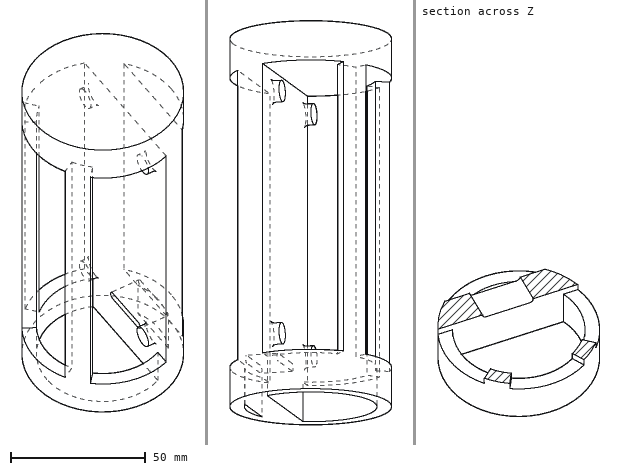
import cadquery as cq
import math

HEIGHT = 140.0
OUTER_RADIUS = 60.0 / 2
WALL = 5.5
INNER_RADIUS = OUTER_RADIUS - WALL
RING_HEIGHT = 15.0
BEYOND_BODY = 2 * OUTER_RADIUS

POST_INNER_ANGLE = 30
POST_OUTER_ANGLE = 49

PLATE_FRONT_Y = 10.0
PLATE_BACK_Y = 22.1

BOSS_DIAMETER = 8.0
BOSS_LENGTH = 5.0
BOSS_FILLET = 2.5
BOSS_X = 20.0
BOSS_Z_INSET = 24.0

SLOT_LENGTH = 20.5
SLOT_HEIGHT = 3.0
SLOT_Z = 17.6


def cylinder(radius, base_z, height):
    return cq.Workplane("XY").workplane(offset=base_z).circle(radius).extrude(height)


def plate_slab():
    """Full-height slab, wider than the body, between the plate's two flat faces."""
    return (
        cq.Workplane("XY")
        .box(2 * BEYOND_BODY, PLATE_BACK_Y - PLATE_FRONT_Y, HEIGHT, centered=(True, False, False))
        .translate((0, PLATE_FRONT_Y, 0))
    )


def post_sector(side):
    """Sector holding the post on the -X (side = -1) or +X (side = 1) half."""

    def sector_point(degrees):
        angle = math.radians(degrees)
        return side * BEYOND_BODY * math.sin(angle), -BEYOND_BODY * math.cos(angle)

    sector = (
        cq.Workplane("XY")
        .polyline([(0, 0), sector_point(POST_INNER_ANGLE), sector_point(POST_OUTER_ANGLE)])
        .close()
        .extrude(HEIGHT)
    )
    return sector.cut(cylinder(INNER_RADIUS, 0, HEIGHT))


def window_band():
    """Space between ring and cap, leaving the plate and the two posts."""
    band = cylinder(BEYOND_BODY, RING_HEIGHT, HEIGHT - 2 * RING_HEIGHT).cut(plate_slab())
    for side in (-1, 1):
        band = band.cut(post_sector(side))
    return band


def ring_bore():
    """Bore through the bottom ring, interrupted by the plate."""
    return cylinder(INNER_RADIUS, 0, RING_HEIGHT).cut(plate_slab())


def bosses():
    """Four pins standing on the plate and pointing along -Y."""
    places = [
        (x, z)
        for x in (-BOSS_X, BOSS_X)
        for z in (BOSS_Z_INSET, HEIGHT - BOSS_Z_INSET)
    ]
    return (
        cq.Workplane("XZ", origin=(0, PLATE_FRONT_Y, 0))
        .pushPoints(places)
        .circle(BOSS_DIAMETER / 2)
        .extrude(BOSS_LENGTH)
    )


def boss_root_selector():
    """Region around the plate's front face that holds the boss root circles."""
    reach = BOSS_LENGTH / 2
    return cq.selectors.BoxSelector(
        (-OUTER_RADIUS, PLATE_FRONT_Y - reach, RING_HEIGHT),
        (OUTER_RADIUS, PLATE_FRONT_Y + reach, HEIGHT - RING_HEIGHT),
    )


def cable_slot():
    return (
        cq.Workplane("XZ")
        .center(0, SLOT_Z)
        .slot2D(SLOT_LENGTH, SLOT_HEIGHT)
        .extrude(OUTER_RADIUS, both=True)
    )


result = cylinder(OUTER_RADIUS, 0, HEIGHT)
result = result.cut(window_band(), clean=False)
result = result.cut(ring_bore(), clean=False)

result = result.union(bosses(), clean=False)
result = result.edges("%CIRCLE").edges(boss_root_selector()).fillet(BOSS_FILLET)
result = result.cut(cable_slot(), clean=False)